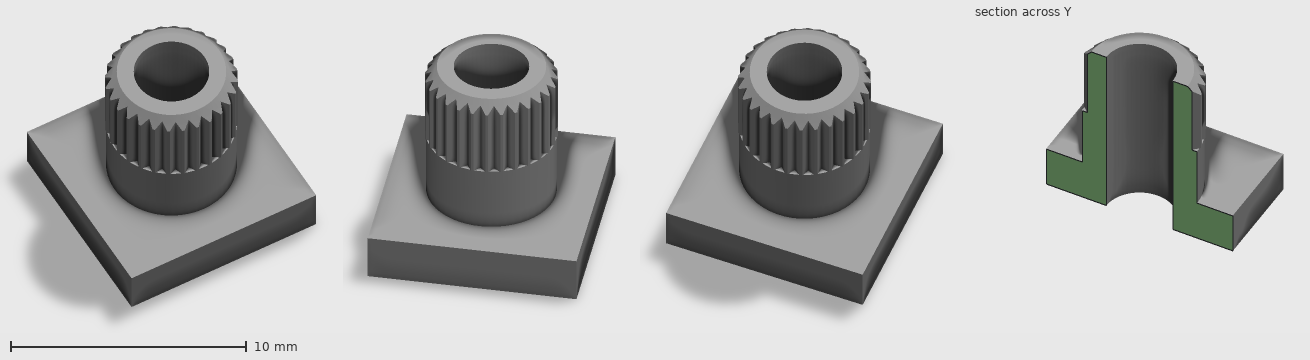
import cadquery as cq
import math

base_side = 9.0
base_height = 2.0

total_height = 8.4
shank_radius = 2.78
bore_radius = 1.6

knurl_height = 3.5
tip_radius = 2.83
root_radius = 2.54
tooth_count = 28
tip_width = 0.11
chamfer_size = 0.5

knurl_bottom = total_height - knurl_height


def polar(radius, angle):
    return (radius * math.cos(angle), radius * math.sin(angle))


def knurl_outline():
    """Points of the toothed outline: V grooves between teeth with narrow flat tips."""
    pitch = 2 * math.pi / tooth_count
    half_tip = math.asin(tip_width / 2 / tip_radius)
    points = []
    for tooth in range(tooth_count):
        root_angle = tooth * pitch
        tip_angle = root_angle + pitch / 2
        points.append(polar(root_radius, root_angle))
        points.append(polar(tip_radius, tip_angle - half_tip))
        points.append(polar(tip_radius, tip_angle + half_tip))
    return points


def make_base():
    return cq.Workplane("XY").box(base_side, base_side, base_height, centered=(True, True, False))


def make_shank():
    shank_height = knurl_bottom - base_height
    return cq.Workplane("XY").workplane(offset=base_height).circle(shank_radius).extrude(shank_height)


def make_knurled_head():
    """Toothed prism trimmed by a chamfered cylinder, which bevels the tooth tops."""
    teeth = cq.Workplane("XY").workplane(offset=knurl_bottom).polyline(knurl_outline()).close()
    teeth = teeth.extrude(knurl_height)
    envelope = cq.Workplane("XY").workplane(offset=knurl_bottom).circle(tip_radius).extrude(knurl_height)
    envelope = envelope.faces(">Z").chamfer(chamfer_size)
    return teeth.intersect(envelope)


bore = cq.Workplane("XY").circle(bore_radius).extrude(total_height)

result = make_base().union(make_shank()).union(make_knurled_head()).cut(bore)